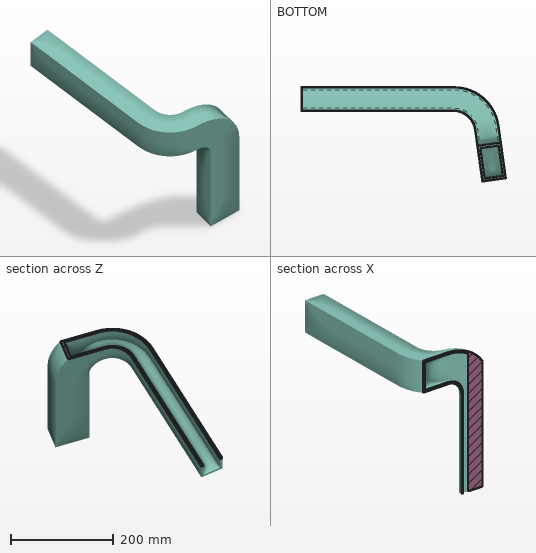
import cadquery as cq
import math

tube_width = 46.3
tube_height = 70.2
wall = 5.0

arm_length = 297.5
side_inner_radius = 42.0
side_angle = 82
down_inner_radius = 32.7
total_height = 319.3

side_radius = side_inner_radius + tube_width / 2
down_radius = down_inner_radius + tube_height / 2
leg_length = total_height - down_radius - tube_height / 2

turn = math.radians(side_angle)
bend_end_x = arm_length + side_radius * math.sin(turn)
bend_end_y = side_radius * (1 - math.cos(turn))


def bar(width, height):
    """Solid bar of the given section following the whole bent path."""
    arm = cq.Workplane("YZ").rect(width, height).extrude(arm_length)
    side_bend = (
        cq.Workplane("YZ", origin=(arm_length, 0, 0))
        .rect(width, height)
        .revolve(side_angle, (side_radius, 0, 0), (side_radius, 1, 0))
    )

    down_bend = (
        cq.Workplane("YZ")
        .rect(width, height)
        .revolve(90, (0, -down_radius, 0), (1, -down_radius, 0))
    )
    leg = (
        cq.Workplane("XY", origin=(down_radius, 0, -down_radius))
        .rect(height, width)
        .extrude(-leg_length)
    )
    lower_half = (
        down_bend.union(leg)
        .rotate((0, 0, 0), (0, 0, 1), side_angle)
        .translate((bend_end_x, bend_end_y, 0))
    )
    return arm.union(side_bend).union(lower_half)


outside = bar(tube_width, tube_height)
bore = bar(tube_width - 2 * wall, tube_height - 2 * wall)
result = outside.cut(bore)